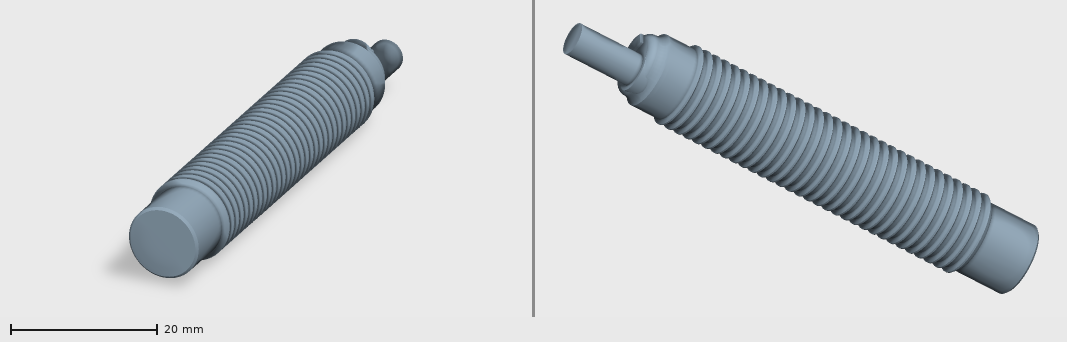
import cadquery as cq
import math


overall_length = 73.2
thread_start_y = 7.9
housing_end_y = 60.1
plug_rim_end_y = 60.75
plug_waist_y = 62.2
plug_end_y = 63.25

cap_radius = 5.25
cap_chamfer = 0.35

thread_radius = 6.0
core_radius = 5.4
ridge_count = 32
ridge_pitch = 1.518
ridge_crest_width = 0.25
flank_half_angle = 30.0
flank_run = (thread_radius - core_radius) * math.tan(math.radians(flank_half_angle))
lead_in_chamfer = thread_radius - cap_radius
first_crest_y = thread_start_y + lead_in_chamfer

plug_waist_radius = 4.63
plug_face_radius = 3.65
neck_step = core_radius - plug_waist_radius
neck_length = plug_waist_y - plug_rim_end_y
neck_arc_radius = (neck_step**2 + neck_length**2) / (2 * neck_step)

cable_radius = 2.35
cable_z = -1.7

boss_reach = 4.8
cable_boss_radius = boss_reach - abs(cable_z)
window_boss_radius = 2.8
window_boss_z = boss_reach - window_boss_radius

window_width = 5.1
window_bottom_z = 1.4
window_top_z = 3.5
window_height = 0.4
window_chamfer = 0.3


def cylinder_y(radius, start_y, end_y, center_z=0.0):
    """Solid cylinder along Y between two stations."""
    plane = cq.Plane(origin=(0, start_y, center_z), xDir=(1, 0, 0), normal=(0, 1, 0))
    return cq.Workplane(plane).circle(radius).extrude(end_y - start_y)


def revolve_about_y(profile):
    return profile.close().revolve(360, (0, 0, 0), (0, 1, 0))


def make_cap():
    return cylinder_y(cap_radius, 0, thread_start_y).faces("<Y").chamfer(cap_chamfer)


def make_housing():
    """Round bar with parallel thread ridges, the first one running out in a 45 degree lead-in."""
    profile = cq.Workplane("XY").moveTo(0, thread_start_y).lineTo(cap_radius, thread_start_y)
    for index in range(ridge_count):
        crest_y = first_crest_y + index * ridge_pitch
        crest_end_y = crest_y + ridge_crest_width
        if index > 0:
            profile = profile.lineTo(core_radius, crest_y - flank_run)
        profile = profile.lineTo(thread_radius, crest_y).lineTo(thread_radius, crest_end_y)
        profile = profile.lineTo(core_radius, crest_end_y + flank_run)
    return revolve_about_y(profile.lineTo(core_radius, housing_end_y).lineTo(0, housing_end_y))


def make_plug():
    """Plug with a concave neck, a rounded end and two bosses that bulge out of the neck."""
    neck_angle = math.asin(neck_length / neck_arc_radius) / 2
    neck_middle = (
        plug_waist_radius + neck_arc_radius * (1 - math.cos(neck_angle)),
        plug_waist_y - neck_arc_radius * math.sin(neck_angle),
    )
    profile = (
        cq.Workplane("XY")
        .moveTo(0, housing_end_y)
        .lineTo(core_radius, housing_end_y)
        .lineTo(core_radius, plug_rim_end_y)
        .threePointArc(neck_middle, (plug_waist_radius, plug_waist_y))
        .tangentArcPoint((plug_face_radius, plug_end_y), relative=False)
        .lineTo(0, plug_end_y)
    )
    plug = revolve_about_y(profile)
    cable_boss = cylinder_y(cable_boss_radius, plug_rim_end_y, plug_end_y, cable_z)
    window_boss = cylinder_y(window_boss_radius, plug_rim_end_y, plug_end_y, window_boss_z)
    return plug.union(cable_boss).union(window_boss)


def make_window():
    """Raised bar on the upper boss, chamfered around its outer face except along the top.

    Its upper corners are trimmed to the outline of the boss.
    """
    center_y = plug_end_y + window_height / 2
    center_z = (window_top_z + window_bottom_z) / 2
    bar = (
        cq.Workplane("XY")
        .box(window_width, window_height, window_top_z - window_bottom_z)
        .faces(">Y")
        .edges("<Z or <X or >X")
        .chamfer(window_chamfer)
        .translate((0, center_y, center_z))
    )
    window_end_y = plug_end_y + window_height
    return bar.intersect(cylinder_y(window_boss_radius, plug_end_y, window_end_y, window_boss_z))


def make_cable():
    return cylinder_y(cable_radius, plug_end_y, overall_length, cable_z)


cap = make_cap()
housing = make_housing()
plug = make_plug()
window = make_window()
cable = make_cable()

result = cq.Compound.makeCompound([cap.val(), housing.val(), plug.val(), window.val(), cable.val()])